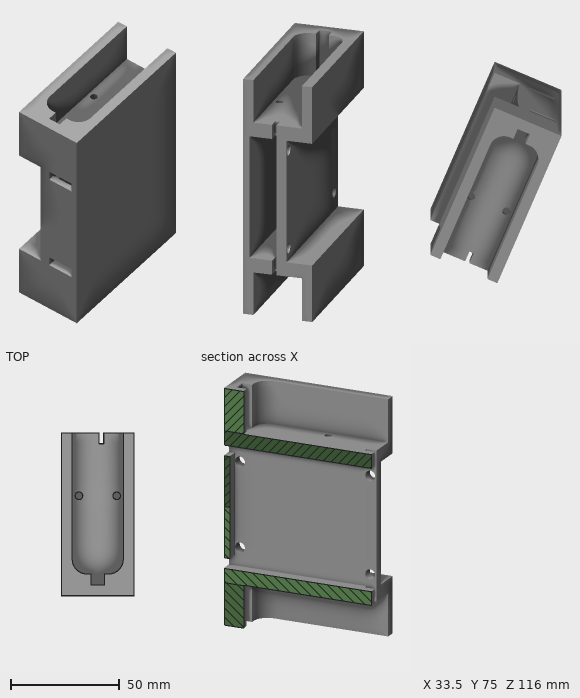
import cadquery as cq

width = 33.5
length = 75.0
height = 116.0
half_height = height / 2

tray_height = 21.0
wall = 5.0
pocket_end_wall = 2 * wall
pocket_corner_radius = 7.0
key_width = 6.1
key_depth = 5.0

flange_thickness = 7.0
web_left = 12.5
bracket_height = half_height - tray_height
web_height = bracket_height - flange_thickness

cavity_left = 17.5
cavity_width = 13.0
front_wall = 3.0

window_height = 5.0

notch_left = 17.4
notch_width = 2.1
notch_depth = 5.0

floor_hole_diameter = 3.5
floor_hole_depth = 3.5
floor_hole_y = 46.0
floor_hole_xs = (8.1, 25.5)

web_hole_diameter = 5.0
web_hole_depth = cavity_left - web_left
web_hole_centres = ((5.6, 21.0), (length - 3.2, 24.1))


def block(x, y, z, size_x, size_y, size_z):
    """Box with its lowest corner at (x, y, z)."""
    return cq.Workplane().box(size_x, size_y, size_z, centered=False).translate((x, y, z))


def make_tray():
    """Upper tray: a through pocket with rounded inner corners, a key recess and an open +Y end."""
    body = block(0, 0, bracket_height, width, length, tray_height)
    pocket = block(
        wall, pocket_end_wall, bracket_height,
        width - 2 * wall, length - pocket_end_wall, tray_height,
    ).edges("|Z and <Y").fillet(pocket_corner_radius)
    key = block(
        (width - key_width) / 2, pocket_end_wall - key_depth, bracket_height,
        key_width, 2 * key_depth, tray_height,
    )
    return body.cut(pocket).cut(key)


def make_bracket():
    """Upper bracket: a web and a flange, with the cavity, the window, the notch and the holes."""
    web = block(web_left, 0, 0, width - web_left, length, web_height)
    flange = block(0, 0, web_height, width, length, flange_thickness)
    cavity = block(cavity_left, front_wall, 0, cavity_width, length - front_wall, web_height)
    window = block(
        cavity_left, 0, web_height - window_height,
        cavity_width, 2 * front_wall, window_height,
    )
    notch = block(notch_left, length - notch_depth, 0, notch_width, notch_depth, bracket_height)
    body = web.union(flange).cut(cavity).cut(window).cut(notch)

    for hole_x in floor_hole_xs:
        top = cq.Vector(hole_x, floor_hole_y, bracket_height)
        body = body.cut(cq.Workplane(cq.Solid.makeCylinder(
            floor_hole_diameter / 2, floor_hole_depth, top, cq.Vector(0, 0, -1))))

    for hole_y, hole_z in web_hole_centres:
        mouth = cq.Vector(web_left, hole_y, hole_z)
        body = body.cut(cq.Workplane(cq.Solid.makeCylinder(
            web_hole_diameter / 2, web_hole_depth, mouth, cq.Vector(1, 0, 0))))
    return body


trays = []
brackets = []
for make_body, bodies in ((make_tray, trays), (make_bracket, brackets)):
    upper = make_body()
    lower = upper.mirror("XY")
    bodies.extend([upper.val(), lower.val()])

result = cq.Compound.makeCompound([*trays, *brackets])